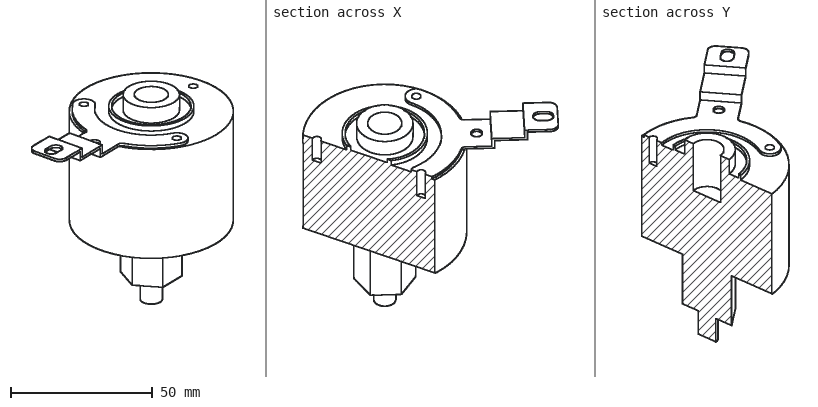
import cadquery as cq
import math

body_radius = 29.0
body_height = 43.4

hex_across_flats = 19.0
hex_height = 21.5
pin_radius = 4.0
pin_height = 10.05

rim_radius = 15.0
rim_wall = 1.0
rim_height = 2.0
rim_recess_depth = 1.5
hub_radius = 10.0
hub_height = 6.7
bore_radius = 6.0
bore_depth = 20.3

screw_circle_radius = 24.0
screw_hole_radius = 1.6
screw_hole_depth = 10.1
screw_angles = (0, 120, 240)

sheet = 1.0
foot_half_width = 4.0
foot_start_angle = -120
foot_end_angle = 0
arm_angle = (foot_start_angle + foot_end_angle) / 2
arm_width = 14.7
arm_end = 61.1
arm_corner_radius = 2.95
junction_radius = 1.5
step_starts = (37.5, 49.1)
bracket_rise = 7.0
step_rise = bracket_rise / 2
arm_hole_distance = 32.4
arm_hole_radius = 2.0
slot_distance = 55.9
slot_width = 4.7
slot_center_spacing = 2.5


def cylinder(radius, bottom, top):
    return cq.Workplane("XY").workplane(offset=bottom).circle(radius).extrude(top - bottom)


def polar(radius, angle):
    turn = math.radians(angle)
    return radius * math.cos(turn), radius * math.sin(turn)


def make_body():
    hex_bottom = -body_height - hex_height
    hex_diameter = hex_across_flats / math.cos(math.pi / 6)
    neck = cq.Workplane("XY").workplane(offset=hex_bottom).polygon(6, hex_diameter).extrude(hex_height)
    body = cylinder(body_radius, -body_height, 0).union(neck)
    body = body.union(cylinder(pin_radius, hex_bottom - pin_height, hex_bottom))
    body = body.union(cylinder(rim_radius, 0, rim_height))
    body = body.cut(cylinder(rim_radius - rim_wall, rim_height - rim_recess_depth, rim_height))
    body = body.union(cylinder(hub_radius, 0, hub_height))
    return body.cut(cylinder(bore_radius, hub_height - bore_depth, hub_height))


def make_foot():
    inner = screw_circle_radius - foot_half_width
    outer = screw_circle_radius + foot_half_width
    return (
        cq.Workplane("XY")
        .moveTo(*polar(outer, foot_start_angle))
        .threePointArc(polar(outer, arm_angle), polar(outer, foot_end_angle))
        .tangentArcPoint(polar(inner, foot_end_angle), relative=False)
        .threePointArc(polar(inner, arm_angle), polar(inner, foot_start_angle))
        .tangentArcPoint(polar(outer, foot_start_angle), relative=False)
        .close()
        .extrude(sheet)
    )


def make_arm():
    """Stepped strip built along +X, then turned to the arm direction."""
    first_step, second_step = step_starts
    middle = step_rise
    upper = bracket_rise
    profile = [
        (screw_circle_radius, 0),
        (first_step + sheet, 0),
        (first_step + sheet, middle),
        (second_step + sheet, middle),
        (second_step + sheet, upper),
        (arm_end, upper),
        (arm_end, upper + sheet),
        (second_step, upper + sheet),
        (second_step, middle + sheet),
        (first_step, middle + sheet),
        (first_step, sheet),
        (screw_circle_radius, sheet),
    ]
    strip = cq.Workplane("XZ").polyline(profile).close().extrude(arm_width / 2, both=True)
    strip = strip.edges("|Z").edges(">X").fillet(arm_corner_radius)
    hole = cylinder(arm_hole_radius, 0, sheet).translate((arm_hole_distance, 0, 0))
    slot = (
        cq.Workplane("XY")
        .workplane(offset=bracket_rise)
        .center(slot_distance, 0)
        .slot2D(slot_center_spacing + slot_width, slot_width)
        .extrude(sheet)
    )
    return strip.cut(hole).cut(slot).rotate((0, 0, 0), (0, 0, 1), arm_angle)


def make_bracket():
    bracket = make_foot().union(make_arm())
    outer = screw_circle_radius + foot_half_width
    half_width = arm_width / 2
    junction_turn = math.degrees(math.asin(half_width / outer))
    for side in (-1, 1):
        x, y = polar(outer, arm_angle + side * junction_turn)
        corner = cq.selectors.NearestToPointSelector((x, y, sheet / 2))
        bracket = bracket.edges("|Z").edges(corner).fillet(junction_radius)
    return bracket


def screw_holes():
    holes = cq.Workplane("XY")
    for angle in screw_angles:
        x, y = polar(screw_circle_radius, angle)
        holes = holes.add(cylinder(screw_hole_radius, -screw_hole_depth, sheet).translate((x, y, 0)))
    return holes.combine()


result = make_body().union(make_bracket()).cut(screw_holes())